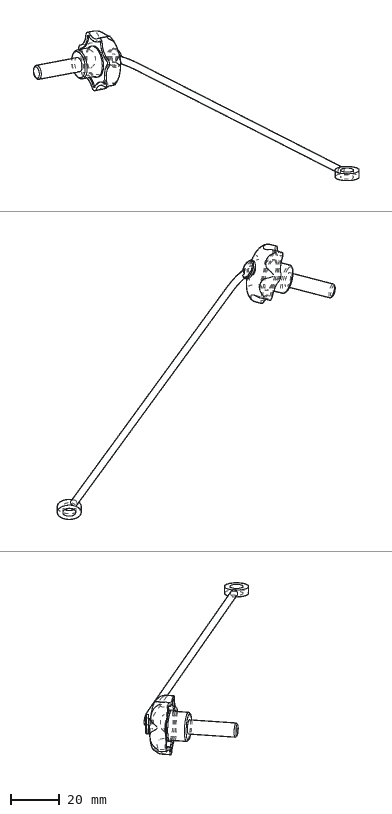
import cadquery as cq
import math

lobe_count = 7
lobe_radius = 2.0
lobe_centre_radius = 10.5
valley_radius = 10.1
rim_height = 3.0
shoulder_radius = 8.7
shoulder_height = 7.1
shoulder_mid = (11.3, 5.7)
knob_height = 8.0
rim_wall = 1.4
recess_depth = 0.5

hub_diameter = 12.0
hub_length = 7.5
hub_chamfer = 0.5
hub_root_diameter = 13.0
stud_diameter = 6.0
stud_tip = 27.8
stud_chamfer = 0.5

neck_diameter = 3.5
ring_diameter = 8.0
ring_thickness = 1.2
ring_chamfer = 0.4
ring_y = 10.1
ring_tilt = 12
rod_diameter = 3.0
rod_y = 11.7
bend_end_x = 15.0
eye_diameter = 10.0
eye_hole_diameter = 5.4
overall_length = 198.2

half_pitch = math.pi / lobe_count
tip_radius = lobe_centre_radius + lobe_radius
knob_left = lobe_centre_radius * math.cos(half_pitch / 2) + lobe_radius
eye_x = overall_length - knob_left - eye_diameter / 2


def polar(radius, angle):
    return (radius * math.cos(angle), radius * math.sin(angle))


def lobed_outline():
    """Seven convex lobes joined by tangent concave valleys."""
    along = lobe_centre_radius * math.cos(half_pitch)
    across = lobe_centre_radius * math.sin(half_pitch)
    drop = valley_radius - along
    valley_arc = (drop**2 + across**2 - lobe_radius**2) / (2 * (lobe_radius - drop))
    share = valley_arc / (valley_arc + lobe_radius)
    valley_centre = valley_radius + valley_arc
    touch_along = valley_centre + (along - valley_centre) * share
    touch_across = across * share
    touch_radius = math.hypot(touch_along, touch_across)
    touch_angle = half_pitch - math.atan2(touch_across, touch_along)

    first_lobe = -math.pi / 2
    outline = cq.Workplane("XZ").moveTo(*polar(touch_radius, first_lobe - touch_angle))
    for index in range(lobe_count):
        lobe = first_lobe + 2 * half_pitch * index
        next_lobe = lobe + 2 * half_pitch
        outline = outline.threePointArc(polar(tip_radius, lobe), polar(touch_radius, lobe + touch_angle))
        outline = outline.threePointArc(
            polar(valley_radius, lobe + half_pitch), polar(touch_radius, next_lobe - touch_angle)
        )
    return outline.close()


def revolve_about_y(profile):
    return profile.close().revolve(360, (0, 0, 0), (0, 1, 0))


def make_knob():
    dome = revolve_about_y(
        cq.Workplane("XY")
        .lineTo(tip_radius, 0)
        .lineTo(tip_radius, rim_height)
        .threePointArc(shoulder_mid, (shoulder_radius, shoulder_height))
        .lineTo(0, knob_height)
    )
    knob = lobed_outline().extrude(-knob_height).intersect(dome)
    recess = lobed_outline().offset2D(-rim_wall).extrude(-recess_depth)
    return knob.cut(recess)


def make_hub_and_stud():
    hub_r = hub_diameter / 2
    root_r = hub_root_diameter / 2
    stud_r = stud_diameter / 2
    root_fillet = root_r - hub_r
    bend = root_fillet * (1 - math.sqrt(0.5))
    return revolve_about_y(
        cq.Workplane("XY")
        .moveTo(0, recess_depth)
        .lineTo(root_r, recess_depth)
        .lineTo(root_r, 0)
        .threePointArc((hub_r + bend, -bend), (hub_r, -root_fillet))
        .lineTo(hub_r, hub_chamfer - hub_length)
        .lineTo(hub_r - hub_chamfer, -hub_length)
        .lineTo(stud_r, -hub_length)
        .lineTo(stud_r, stud_chamfer - stud_tip)
        .lineTo(stud_r - stud_chamfer, -stud_tip)
        .lineTo(0, -stud_tip)
    )


def make_neck_and_ring():
    neck_base = knob_height / 2
    neck = cq.Workplane("XZ", origin=(0, neck_base, 0)).circle(neck_diameter / 2).extrude(neck_base - ring_y)
    ring = cq.Workplane("XZ").circle(ring_diameter / 2).extrude(ring_thickness / 2, both=True)
    ring = ring.faces(">Y").chamfer(ring_chamfer)
    ring = ring.rotate((0, 0, 0), (0, 0, 1), ring_tilt).translate((0, ring_y, 0))
    return neck.union(ring)


def make_rod():
    tilt = math.radians(ring_tilt)
    start_x = ring_diameter / 4
    bend_radius = (bend_end_x - start_x) / math.sin(tilt)
    start = (start_x, rod_y - bend_radius * (1 - math.cos(tilt)))
    middle = (
        bend_end_x - bend_radius * math.sin(tilt / 2),
        rod_y - bend_radius * (1 - math.cos(tilt / 2)),
    )
    path = cq.Workplane("XY").moveTo(*start).threePointArc(middle, (bend_end_x, rod_y))
    normal = (math.cos(tilt), math.sin(tilt), 0)
    section = cq.Plane(origin=(*start, 0), xDir=(0, 0, 1), normal=normal)
    bend = cq.Workplane(section).circle(rod_diameter / 2).sweep(path)
    straight = (
        cq.Workplane("YZ", origin=(bend_end_x, rod_y, 0))
        .circle(rod_diameter / 2)
        .extrude(eye_x - bend_end_x)
    )
    return bend.union(straight)


def add_eye(body):
    eye = cq.Workplane("XY").center(eye_x, rod_y)
    disc = eye.circle(eye_diameter / 2).extrude(rod_diameter / 2, both=True)
    hole = eye.circle(eye_hole_diameter / 2).extrude(rod_diameter, both=True)
    return body.union(disc).cut(hole)


result = make_knob().union(make_hub_and_stud()).union(make_neck_and_ring())
result = add_eye(result.union(make_rod()))